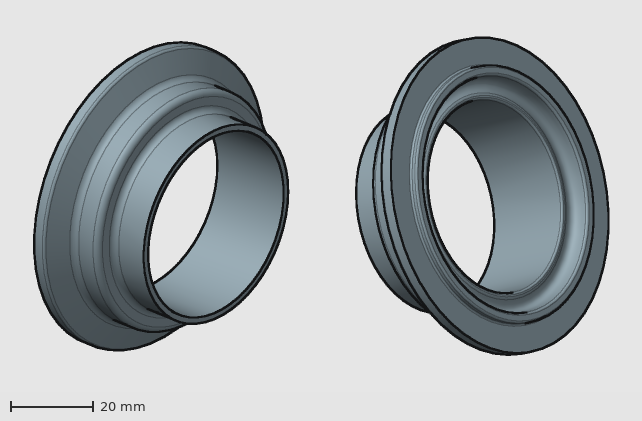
import cadquery as cq
import math

length = 26.0
flange_front = 1.9
rim_back = 4.7
shoulder = 16.0
lip_front = 3.3
groove_bottom = 4.3

flange_radius = 77.5 / 2
ring_radius = 63.4 / 2
hub_radius = 62 / 2
pipe_radius = 50.8 / 2
bore_radius = 47.5 / 2
groove_outer_radius = 29.15
groove_bottom_radius = 27.3
lip_flat_radius = 24.7

cone_lean = math.radians(20.5)

ring_root_round = 0.5
ring_edge_round = 0.55
rim_round = 0.8
hub_root_round = 1.9
shoulder_round = 1.6
groove_edge_round = 0.6
lip_outer_round = 1.1
lip_inner_round = 0.55

lip_turn = math.radians(40)
lip_groove_edge = (
    lip_front + lip_outer_round * (1 - math.cos(lip_turn)),
    lip_flat_radius + lip_outer_round * math.sin(lip_turn),
)
lip_groove_direction = (math.sin(lip_turn), math.cos(lip_turn))

rim_end_x = rim_back + rim_round * math.cos(cone_lean)
rim_end_radius = flange_radius - rim_round * (1 - math.sin(cone_lean))

root_start_radius = hub_radius + hub_root_round * (1 - math.sin(cone_lean))
root_start_x = rim_end_x + (rim_end_radius - root_start_radius) * math.tan(cone_lean)
hub_start = root_start_x + hub_root_round * math.cos(cone_lean)

profile = cq.Workplane("XY").moveTo(0, groove_outer_radius + groove_edge_round)

profile = (
    profile.lineTo(0, ring_radius - ring_edge_round)
    .radiusArc((ring_edge_round, ring_radius), ring_edge_round)
    .lineTo(flange_front - ring_root_round, ring_radius)
    .radiusArc((flange_front, ring_radius + ring_root_round), -ring_root_round)
)

profile = (
    profile.lineTo(flange_front, flange_radius)
    .lineTo(rim_back, flange_radius)
    .radiusArc((rim_end_x, rim_end_radius), rim_round)
    .lineTo(root_start_x, root_start_radius)
    .radiusArc((hub_start, hub_radius), -hub_root_round)
)

profile = (
    profile.lineTo(shoulder - shoulder_round, hub_radius)
    .radiusArc((shoulder, hub_radius - shoulder_round), shoulder_round)
    .lineTo(shoulder, pipe_radius + shoulder_round)
    .radiusArc((shoulder + shoulder_round, pipe_radius), -shoulder_round)
    .lineTo(length, pipe_radius)
    .lineTo(length, bore_radius)
)

profile = (
    profile.lineTo(lip_front + lip_inner_round, bore_radius)
    .radiusArc((lip_front, bore_radius + lip_inner_round), lip_inner_round)
    .lineTo(lip_front, lip_flat_radius)
    .radiusArc(lip_groove_edge, lip_outer_round)
)

profile = (
    profile.spline(
        [(groove_bottom, groove_bottom_radius), (groove_edge_round, groove_outer_radius)],
        tangents=[lip_groove_direction, (0, 1), (-1, 0)],
        includeCurrent=True,
    )
    .radiusArc((0, groove_outer_radius + groove_edge_round), groove_edge_round)
    .close()
)

axis_start = (0, 0, 0)
axis_end = (1, 0, 0)
result = profile.revolve(360, axis_start, axis_end)